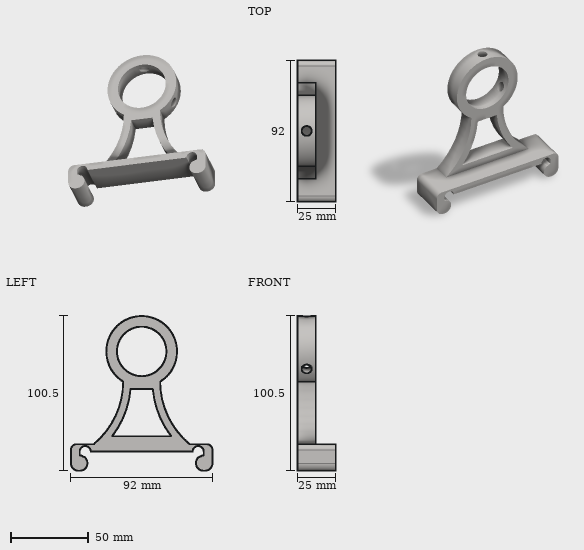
import cadquery as cq
import math

total_height = 100.5
base_depth = 25.0
base_width = 92.0
frame_depth = 12.1

ring_radius = 23.0
bore_diameter = 32.0
screw_hole_diameter = 6.4
screw_hole_count = 3
ring_z = total_height - ring_radius

plate_top = 17.4
plate_bottom = 12.6
plate_corner_radius = 3.8
hook_radius = 5.0
hook_wall = 5.8
groove_radius = 3.5
half_width = base_width / 2
wall_inner_y = half_width - hook_wall
groove_y = wall_inner_y - groove_radius

neck_half_width = 12.1
neck_z = 58.0
leg_curve_radius = 52.8
leg_thickness = 5.1
window_top = 53.1
window_bottom = 22.6
leg_center_y = neck_half_width + leg_curve_radius


def x_cylinder(radius, y, z, depth):
    """Cylinder along X, starting at X = 0."""
    return cq.Workplane("YZ").center(y, z).circle(radius).extrude(depth)


def yz_box(y_min, y_max, z_min, z_max, depth):
    """Box starting at X = 0 with the given Y and Z limits."""
    return (
        cq.Workplane("YZ")
        .center((y_min + y_max) / 2, (z_min + z_max) / 2)
        .rect(y_max - y_min, z_max - z_min)
        .extrude(depth)
    )


def flared_shape(curve_radius, bottom_z, top_z):
    """Symmetric block between two arcs centred at neck height."""

    def arc_y(z):
        return leg_center_y - math.sqrt(curve_radius**2 - (z - neck_z) ** 2)

    middle_z = (bottom_z + top_z) / 2
    return (
        cq.Workplane("YZ")
        .moveTo(-arc_y(bottom_z), bottom_z)
        .lineTo(arc_y(bottom_z), bottom_z)
        .threePointArc((arc_y(middle_z), middle_z), (arc_y(top_z), top_z))
        .lineTo(-arc_y(top_z), top_z)
        .threePointArc((-arc_y(middle_z), middle_z), (-arc_y(bottom_z), bottom_z))
        .close()
        .extrude(frame_depth)
    )


def make_hook():
    """Rounded wall and inward-curled tip below the +Y end of the plate."""
    wall = yz_box(wall_inner_y, half_width, 0, plate_top, base_depth)
    wall = wall.edges("|X and >Y and <Z").fillet(hook_radius)
    tip = x_cylinder(hook_radius, wall_inner_y, hook_radius, base_depth)
    return wall.union(tip)


def make_base():
    plate = yz_box(-half_width, half_width, plate_bottom, plate_top, base_depth)
    plate = plate.edges("|X and >Z").fillet(plate_corner_radius)
    hook = make_hook().edges("|X and >Y and >Z").fillet(plate_corner_radius)
    base = plate.union(hook).union(hook.mirror("XZ"))
    for side in (-1, 1):
        base = base.cut(x_cylinder(groove_radius, side * groove_y, plate_bottom, base_depth))
    return base


def make_frame():
    legs = flared_shape(leg_curve_radius, plate_top, neck_z)
    window = flared_shape(leg_curve_radius + leg_thickness, window_bottom, window_top)
    ring = x_cylinder(ring_radius, 0, ring_z, frame_depth)
    bore = x_cylinder(bore_diameter / 2, 0, ring_z, frame_depth)
    return legs.cut(window).union(ring).cut(bore)


def make_screw_holes():
    """Evenly spaced radial holes, the first one pointing straight up."""
    axis_start = (frame_depth / 2, 0, ring_z)
    axis_end = (frame_depth / 2 + 1, 0, ring_z)
    hole = (
        cq.Workplane("XY", origin=axis_start)
        .circle(screw_hole_diameter / 2)
        .extrude(ring_radius)
    )
    holes = hole
    for index in range(1, screw_hole_count):
        holes = holes.union(hole.rotate(axis_start, axis_end, index * 360 / screw_hole_count))
    return holes


result = make_base().union(make_frame()).cut(make_screw_holes())